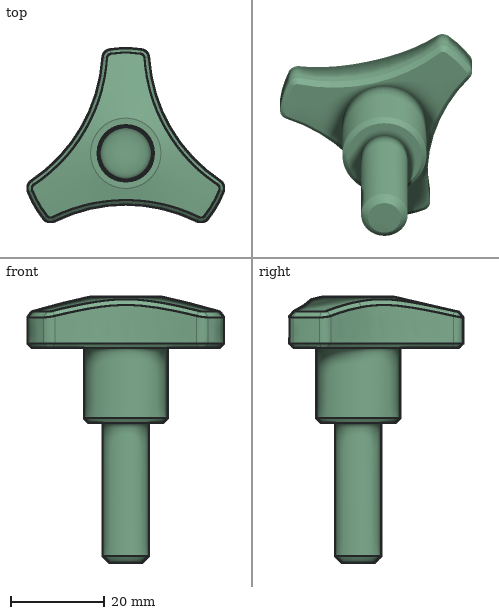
import cadquery as cq
import math

TOTAL_HEIGHT = 57.0
STUD_LENGTH = 30.0
HEAD_BOTTOM = 46.0

STUD_DIAMETER = 10.0
STUD_CHAMFER = 1.5
HUB_DIAMETER = 18.0
EDGE_CHAMFER = 1.0

ARM_COUNT = 3
HEAD_RADIUS = 22.5
WAIST_RADIUS = 11.0
HOLLOW_RADIUS = 34.2
ARM_CORNER_RADIUS = 2.0
CROWN_FLAT_RADIUS = 7.5
CROWN_SLOPE = 13.0

RECESS_MOUTH_DIAMETER = 11.75
RECESS_FLOOR_DIAMETER = 11.25
RECESS_DEPTH = 2.0
RECESS_CHAMFER = 0.14


def make_stud():
    stud = cq.Workplane("XY").circle(STUD_DIAMETER / 2).extrude(HEAD_BOTTOM)
    return stud.faces("<Z").chamfer(STUD_CHAMFER)


def make_hub():
    hub = (
        cq.Workplane("XY")
        .workplane(offset=STUD_LENGTH)
        .circle(HUB_DIAMETER / 2)
        .extrude(HEAD_BOTTOM - STUD_LENGTH)
    )
    return hub.faces("<Z").chamfer(EDGE_CHAMFER)


def make_crowned_disc():
    """Disc with a flat centre and a conical upper face."""
    crown_drop = (HEAD_RADIUS - CROWN_FLAT_RADIUS) * math.tan(math.radians(CROWN_SLOPE))
    return (
        cq.Workplane("XZ")
        .moveTo(0, HEAD_BOTTOM)
        .lineTo(HEAD_RADIUS, HEAD_BOTTOM)
        .lineTo(HEAD_RADIUS, TOTAL_HEIGHT - crown_drop)
        .lineTo(CROWN_FLAT_RADIUS, TOTAL_HEIGHT)
        .lineTo(0, TOTAL_HEIGHT)
        .close()
        .revolve(360, (0, 0, 0), (0, 1, 0))
    )


def make_head():
    head = make_crowned_disc()
    for index in range(ARM_COUNT):
        hollow = (
            cq.Workplane("XY")
            .workplane(offset=HEAD_BOTTOM)
            .center(0, -(WAIST_RADIUS + HOLLOW_RADIUS))
            .circle(HOLLOW_RADIUS)
            .extrude(TOTAL_HEIGHT - HEAD_BOTTOM)
            .rotate((0, 0, 0), (0, 0, 1), index * 360 / ARM_COUNT)
        )
        head = head.cut(hollow)
    head = head.edges("|Z").fillet(ARM_CORNER_RADIUS)
    head = head.faces("<Z").chamfer(EDGE_CHAMFER)
    crown_rim = head.faces("%CONE").faces(">Z").edges("not(>Z)")
    return crown_rim.chamfer(EDGE_CHAMFER)


def make_recess():
    mouth_radius = RECESS_MOUTH_DIAMETER / 2
    floor_height = TOTAL_HEIGHT - RECESS_DEPTH
    return (
        cq.Workplane("XZ")
        .moveTo(0, floor_height)
        .lineTo(RECESS_FLOOR_DIAMETER / 2, floor_height)
        .lineTo(mouth_radius, TOTAL_HEIGHT - RECESS_CHAMFER)
        .lineTo(mouth_radius + RECESS_CHAMFER, TOTAL_HEIGHT)
        .lineTo(0, TOTAL_HEIGHT)
        .close()
        .revolve(360, (0, 0, 0), (0, 1, 0))
    )


result = make_stud().union(make_hub()).union(make_head()).cut(make_recess())